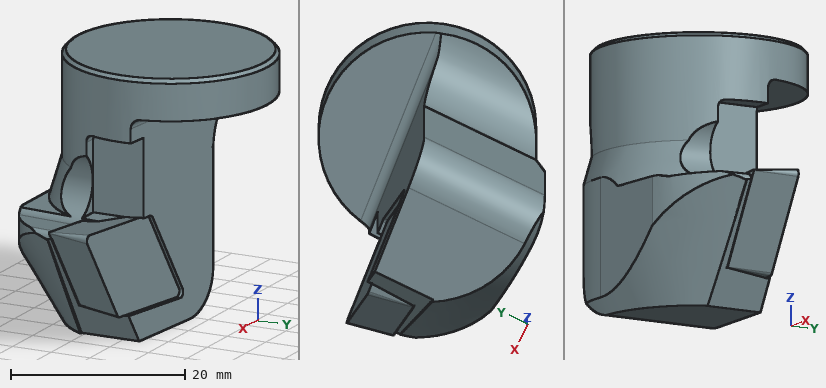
import cadquery as cq
import math


head_radius = 12.52
head_chamfer = 0.47
head_bottom_z = -12.73

base_z = -32.05
shank_radius = 13.55
shank_left_x = -5.0
ledge_z = -17.7
neck_bottom_radius = 14.03
front_flat_end_x = 10.82
front_curve_middle = (15.2, -11.7)
front_curve_end = (18.7, -7.95)
plan_reach = 26.72
base_fillet = 5.0
clearance_base_radius = 12.5
clearance_angle = 29.5

relief_radius = 8.0
relief_center_z = -13.05

rear_face_y = 2.9
rear_ceiling_z = -4.98
rear_fillet = 1.17

skew_angle = 5.3
insert_side = 13.53
insert_angle = 55.0
insert_thickness = 5.55
insert_taper = 5.5
insert_tip_y = 0.05
nose_radius = 0.6
nose_center_x = 20.27
nose_center_z = -17.6
edge_slope = 2.9
flank_angle = insert_angle + edge_slope
flank_wall_x = 10.65
flank_wall_y = -6.0
holder_nose_x = 19.05
holder_nose_radius = 0.85

gullet_radius = 4.2
gullet_center_x = 13.95
gullet_center_z = -13.8
gullet_pivot_y = -6.68

access_ceiling_z = -7.88
access_wall_y = -4.98
access_fillet = 1.0

margin = 50.1


def polar(angle, length):
    """Offset in the XZ plane, with the angle in degrees from +X towards +Z."""
    turn = math.radians(angle)
    return length * math.cos(turn), length * math.sin(turn)


def skew(body, pivot_x, pivot_y):
    """Turn a body clockwise about a vertical line to line up with the insert."""
    return body.rotate((pivot_x, pivot_y, 0), (pivot_x, pivot_y, 1), -skew_angle)


def make_head():
    head = cq.Workplane("XY").workplane(offset=head_bottom_z).circle(head_radius).extrude(-head_bottom_z)
    return head.faces(">Z").chamfer(head_chamfer)


def shank_plan(bottom_z, height):
    """Shank cross-section: round at the front left, flat in front, curved in to the nose."""
    left_front_y = -math.sqrt(shank_radius**2 - shank_left_x**2)
    middle_x = shank_left_x / 2
    middle_y = -math.sqrt(shank_radius**2 - middle_x**2)
    return (
        cq.Workplane("XY").workplane(offset=bottom_z)
        .moveTo(shank_left_x, left_front_y)
        .threePointArc((middle_x, middle_y), (0, -shank_radius))
        .lineTo(front_flat_end_x, -shank_radius)
        .threePointArc(front_curve_middle, front_curve_end)
        .lineTo(plan_reach, front_curve_end[1])
        .lineTo(plan_reach, head_radius)
        .lineTo(shank_left_x, head_radius)
        .close().extrude(height)
    )


def make_shank():
    """Shank block with its base fillet and the conical clearance below the cutting edge."""
    height = ledge_z - base_z
    block = shank_plan(base_z, height)
    block = block.edges(cq.selectors.NearestToPointSelector((shank_left_x, 0, base_z))).fillet(base_fillet)
    top_radius = clearance_base_radius + height * math.tan(math.radians(clearance_angle))
    cone = cq.Solid.makeCone(clearance_base_radius, top_radius, height, pnt=cq.Vector(0, 0, base_z))
    return block.intersect(cq.Workplane(cone))


def make_neck():
    """Cone that flares from the head to the ledge, trimmed to the shank cross-section."""
    height = head_bottom_z - ledge_z
    cone = cq.Solid.makeCone(neck_bottom_radius, head_radius, height, pnt=cq.Vector(0, 0, ledge_z))
    return cq.Workplane(cone).intersect(shank_plan(ledge_z, height))


def left_relief():
    """Space left of the shank, with a quarter-round under the head."""
    center_x = shank_left_x - relief_radius
    arc_x, arc_z = polar(45, relief_radius)
    return (
        cq.Workplane("XZ")
        .moveTo(shank_left_x, base_z)
        .lineTo(shank_left_x, relief_center_z)
        .threePointArc((center_x + arc_x, relief_center_z + arc_z), (center_x, relief_center_z + relief_radius))
        .lineTo(-margin, relief_center_z + relief_radius)
        .lineTo(-margin, base_z)
        .close().extrude(margin, both=True)
    )


def rear_relief():
    """Space behind the shank, rounded into the underside of the head."""
    size = 2 * margin
    block = cq.Workplane("XY").box(size, margin, margin, centered=(True, False, False))
    block = block.edges("|X and <Y and >Z").fillet(rear_fillet)
    block = block.translate((shank_left_x, rear_face_y, rear_ceiling_z - margin))
    return skew(block, shank_left_x, rear_face_y)


def gullet():
    """Round chip space above the insert, with a rising floor that rounds down at the nose."""
    floor_x, floor_z = polar(edge_slope - 90, gullet_radius)
    floor_start = (gullet_center_x + floor_x, gullet_center_z + floor_z)
    nose_center = holder_nose_x - holder_nose_radius
    rise_x = nose_center - holder_nose_radius * math.sin(math.radians(edge_slope)) - floor_start[0]
    floor_end = (floor_start[0] + rise_x, floor_start[1] + rise_x * math.tan(math.radians(edge_slope)))
    nose_center_height = floor_end[1] - holder_nose_radius * math.cos(math.radians(edge_slope))
    middle_x, middle_z = polar(45, holder_nose_radius)
    profile = (
        cq.Workplane("XZ")
        .moveTo(gullet_center_x, gullet_center_z + gullet_radius)
        .threePointArc((gullet_center_x - gullet_radius, gullet_center_z), floor_start)
        .lineTo(*floor_end)
        .threePointArc(
            (nose_center + middle_x, nose_center_height + middle_z),
            (holder_nose_x, nose_center_height),
        )
        .lineTo(holder_nose_x, base_z)
        .lineTo(margin, base_z)
        .lineTo(margin, gullet_center_z + gullet_radius)
        .close().extrude(margin, both=True)
    )
    return skew(profile, gullet_center_x, gullet_pivot_y)


def insert_access():
    """Space above the ledge and behind a wall in the head, rounded into its ceiling."""
    height = access_ceiling_z - ledge_z
    block = cq.Workplane("XY").box(margin, margin, height, centered=False)
    block = block.edges("|X and <Y and >Z").fillet(access_fillet)
    return block.translate((gullet_center_x - gullet_radius, access_wall_y, ledge_z))


def flank_relief():
    """Space beyond the sloped face that runs parallel to the insert flank, beside the insert."""
    run_x, run_z = polar(flank_angle, margin)
    return (
        cq.Workplane("XZ", origin=(0, flank_wall_y, 0))
        .moveTo(flank_wall_x, base_z)
        .lineTo(flank_wall_x + run_x, base_z + run_z)
        .lineTo(margin, base_z)
        .close().extrude(-margin)
    )


def insert_outline():
    """Rhombus with rounded corners, drawn on the cutting face."""
    half_angle = insert_angle / 2
    tip_x, tip_z = polar(edge_slope + half_angle, nose_radius / math.sin(math.radians(half_angle)))
    tip = cq.Vector(nose_center_x + tip_x, nose_center_z + tip_z)
    edge = cq.Vector(*polar(edge_slope, insert_side))
    flank = cq.Vector(*polar(flank_angle, insert_side))
    corners = [tip, tip - edge, tip - edge - flank, tip - flank, tip]
    outline = cq.Sketch().polygon(corners).vertices().fillet(nose_radius)
    return cq.Workplane("XZ", origin=(0, insert_tip_y, 0)).placeSketch(outline)


def make_insert():
    """Rhombic insert that tapers away from its cutting face."""
    insert = insert_outline().extrude(insert_thickness, taper=insert_taper)
    return skew(insert, nose_center_x, insert_tip_y)


def insert_entry():
    """Opening through which the insert drops into its seat."""
    return skew(insert_outline().extrude(-margin), nose_center_x, insert_tip_y)


insert = make_insert()
holder = make_head().union(make_neck()).union(make_shank())
for tool in (left_relief(), rear_relief(), gullet(), insert_access(), flank_relief(), insert_entry(), insert):
    holder = holder.cut(tool)

result = cq.Compound.makeCompound([holder.val(), insert.val()])